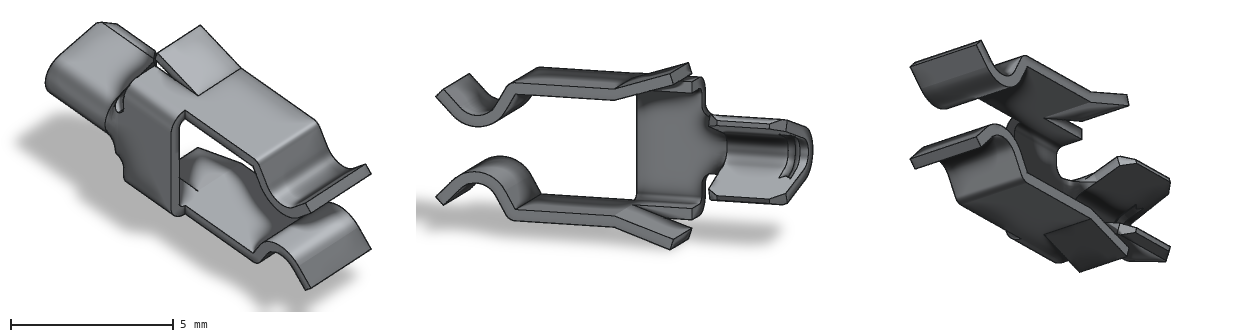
import cadquery as cq
import math

thickness = 0.36
length = 11.18
depth = 3.18

base_start = 3.48
base_end = 5.59
channel_half_height = 2.17
bend_inner_radius = 0.25
bend_outer_radius = bend_inner_radius + thickness
arm_inner_z = channel_half_height - thickness

knee_x = 8.6
knee_angle = math.radians(60)
contact_inner_radius = 0.73
contact_outer_radius = contact_inner_radius + thickness
contact_gap_half = 0.7
lead_in_angle = math.radians(45)

tab_edge_y = 1.34
tab_hinge_x = 5.4
tab_tip_x = 3.59
tab_tip_span = 5.53
tab_tip_z = tab_tip_span / 2
tab_angle = math.atan2(tab_tip_z - channel_half_height, tab_hinge_x - tab_tip_x)

barrel_end = 2.66
barrel_outer_radius = 0.87
barrel_inner_radius = barrel_outer_radius - thickness
flank_angle = math.radians(18.4)
flank_tip_y = 2.55
corner_chamfer = 0.38
tip_bevel_start_y = 2.15
tip_edge_thickness = 0.16
mouth_setback = 0.2

groove_start = 0.3
groove_end = 0.68
groove_depth = 0.13
groove_tip_y = 1.29

neck_end = 3.24
neck_half_height = 0.89
neck_flank_length = 0.63
neck_fillet_height = 0.39
neck_fillet_sag = 0.075


def both_sides(half):
    """Join a +Z feature with its mirror image."""
    return half.union(half.mirror("XY"))


def polar(center, radius, angle):
    return (center[0] + radius * math.cos(angle), center[1] + radius * math.sin(angle))


def channel_block(wall_offset, bend_radius):
    """Block behind a base face at Y = wall_offset, rounded along the two bends."""
    block = cq.Workplane("XY").box(
        base_end - base_start, depth, 2 * (channel_half_height - wall_offset), centered=(False, False, True)
    )
    return block.translate((base_start, wall_offset, 0)).edges("|X and <Y").fillet(bend_radius)


def make_channel():
    """Base with the bends that lead into both arms."""
    bends = cq.Workplane("XY").box(
        length, bend_outer_radius, 2 * channel_half_height, centered=(False, False, True)
    )
    outside = channel_block(0, bend_outer_radius)
    inside = channel_block(thickness, bend_inner_radius)
    return outside.cut(inside).intersect(bends)


def make_arm():
    """Upper arm: a flat leaf, the knee, the round contact and the lead-in."""
    center_z = contact_gap_half + contact_outer_radius
    rise = (center_z - arm_inner_z) * math.cos(knee_angle)
    center = (knee_x + (contact_outer_radius - rise) / math.sin(knee_angle), center_z)
    knee = (knee_x, arm_inner_z)
    start = -math.pi / 2 - knee_angle
    middle = -math.pi / 2
    end = -math.pi / 2 + lead_in_angle

    outer_end = polar(center, contact_outer_radius, end)
    inner_end = polar(center, contact_inner_radius, end)
    lead_in = (length - outer_end[0]) / math.cos(lead_in_angle)
    knee_normal = math.pi / 2 - knee_angle

    leaf = (
        cq.Workplane("XZ")
        .moveTo(base_start, arm_inner_z)
        .lineTo(*knee)
        .lineTo(*polar(center, contact_outer_radius, start))
        .threePointArc(polar(center, contact_outer_radius, middle), outer_end)
        .lineTo(*polar(outer_end, lead_in, lead_in_angle))
        .lineTo(*polar(inner_end, lead_in, lead_in_angle))
        .lineTo(*inner_end)
        .threePointArc(
            polar(center, contact_inner_radius, middle), polar(center, contact_inner_radius, start)
        )
        .lineTo(*polar(knee, thickness, knee_normal))
        .threePointArc(
            polar(knee, thickness, (knee_normal + math.pi / 2) / 2), (knee_x, channel_half_height)
        )
        .lineTo(base_start, channel_half_height)
        .close()
        .extrude(-(depth - bend_outer_radius))
        .translate((0, bend_outer_radius, 0))
    )
    window = cq.Workplane("XY").box(
        tab_hinge_x - base_start, depth - tab_edge_y, 2 * thickness, centered=(False, False, True)
    )
    return leaf.cut(window.translate((base_start, tab_edge_y, arm_inner_z)))


def make_tab():
    """Upper locking tab, sloping outwards from its hinge towards -X."""
    tip = (tab_tip_x, tab_tip_z)
    return (
        cq.Workplane("XZ")
        .moveTo(tab_hinge_x, channel_half_height)
        .lineTo(*tip)
        .lineTo(*polar(tip, thickness, -math.pi / 2 - tab_angle))
        .lineTo(tab_hinge_x, arm_inner_z)
        .close()
        .extrude(-(depth - tab_edge_y))
        .translate((0, tab_edge_y, 0))
    )


def flank_point(radius, y):
    """Point (y, z) on the straight flank tangent to a barrel arc of this radius."""
    tangent = polar((barrel_outer_radius, 0), radius, math.pi / 2 + flank_angle)
    return (y, tangent[1] + (y - tangent[0]) * math.tan(flank_angle))


def make_barrel_half():
    """Upper half of the U, with its bevelled tip and chamfered corners."""
    center = (barrel_outer_radius, 0)
    tangent_angle = math.pi / 2 + flank_angle
    mid_angle = (tangent_angle + math.pi) / 2
    inner_tip = flank_point(barrel_inner_radius, flank_tip_y)
    outer_tip = polar(inner_tip, tip_edge_thickness, math.pi / 2 + flank_angle)
    bevel_start = flank_point(barrel_outer_radius, tip_bevel_start_y)
    half = (
        cq.Workplane("YZ")
        .moveTo(0, 0)
        .threePointArc(
            polar(center, barrel_outer_radius, mid_angle), polar(center, barrel_outer_radius, tangent_angle)
        )
        .lineTo(*bevel_start)
        .lineTo(*outer_tip)
        .lineTo(*inner_tip)
        .lineTo(*polar(center, barrel_inner_radius, tangent_angle))
        .threePointArc(polar(center, barrel_inner_radius, mid_angle), (thickness, 0))
        .close()
        .extrude(barrel_end)
    )
    flank_plane = cq.Plane(
        origin=(0, inner_tip[0], inner_tip[1]),
        xDir=(1, 0, 0),
        normal=(0, -math.sin(flank_angle), math.cos(flank_angle)),
    )
    for corner_x, inward in ((mouth_setback, 1), (barrel_end, -1)):
        corner = (
            cq.Workplane(flank_plane)
            .moveTo(corner_x + inward * corner_chamfer, 0)
            .lineTo(corner_x - inward * corner_chamfer, -2 * corner_chamfer)
            .lineTo(corner_x - inward * corner_chamfer, corner_chamfer)
            .lineTo(corner_x + inward * corner_chamfer, corner_chamfer)
            .close()
            .extrude(2 * thickness, both=True)
        )
        half = half.cut(corner)
    return half


def make_groove():
    """Cutter for the V-shaped grip groove that follows the inside of the U."""
    middle = (groove_start + groove_end) / 2
    tangent_angle = math.pi / 2 + flank_angle
    center = (barrel_outer_radius, 0)
    sections = []
    for x, sink in ((groove_start, 0), (middle, groove_depth), (groove_end, 0)):
        radius = barrel_inner_radius + sink
        tangent = polar(center, radius, tangent_angle)
        tip = flank_point(radius, groove_tip_y - sink)
        section = (
            cq.Workplane("YZ", origin=(x, 0, 0))
            .moveTo(*tip)
            .lineTo(*tangent)
            .threePointArc((barrel_outer_radius - radius, 0), (tangent[0], -tangent[1]))
            .lineTo(tip[0], -tip[1])
            .close()
        )
        sections.append(section.val())
    return cq.Workplane(cq.Solid.makeLoft(sections, True))


def make_barrel():
    """Wire barrel whose open mouth leans back towards the flank tips."""
    mouth_cut = (
        cq.Workplane("XY")
        .polyline([(0, 0), (mouth_setback, flank_tip_y), (0, flank_tip_y)])
        .close()
        .extrude(depth, both=True)
    )
    return both_sides(make_barrel_half()).cut(mouth_cut).cut(make_groove())


def neck_profile_point(radius, share):
    """Point (y, z) on the neck's U-shaped end; share runs from -1 to 1 along the bent sheet."""
    sweep = math.pi / 2 - flank_angle
    arc_length = barrel_outer_radius * sweep
    travel = abs(share) * (arc_length + neck_flank_length)
    turn = min(travel / barrel_outer_radius, sweep)
    straight = max(travel - arc_length, 0)
    y, z = polar((barrel_outer_radius, 0), radius, math.pi - turn)
    y += straight * math.cos(flank_angle)
    z += straight * math.sin(flank_angle)
    return (y, math.copysign(z, share))


def make_neck():
    """Neck that unrolls from the U of the barrel to the flat base."""
    stations = 6
    points_per_side = 6
    shares = [i / points_per_side for i in range(-points_per_side, points_per_side + 1)]
    sections = []
    for station in range(stations + 1):
        progress = station / stations
        flatness = math.sqrt(1 - (1 - progress) ** 2)
        x = barrel_end + progress * (neck_end - barrel_end)
        outlines = []
        for radius, flat_y in ((barrel_outer_radius, 0), (barrel_inner_radius, thickness)):
            points = []
            for share in shares:
                y, z = neck_profile_point(radius, share)
                flat_z = share * neck_half_height
                points.append(
                    cq.Vector(x, y + flatness * (flat_y - y), z + flatness * (flat_z - z))
                )
            outlines.append(points)
        outer, inner = outlines
        sections.append(
            cq.Wire.assembleEdges(
                [
                    cq.Edge.makeSpline(outer),
                    cq.Edge.makeLine(outer[-1], inner[-1]),
                    cq.Edge.makeSpline(inner[::-1]),
                    cq.Edge.makeLine(inner[0], outer[0]),
                ]
            )
        )
    return cq.Workplane(cq.Solid.makeLoft(sections, False))


def make_neck_root():
    """Flat end of the neck, with a concave fillet into the base edge."""
    half = (
        cq.Workplane("XZ")
        .moveTo(base_start, 0)
        .lineTo(base_start, neck_half_height + neck_fillet_height)
        .sagittaArc((neck_end, neck_half_height), neck_fillet_sag)
        .lineTo(neck_end, 0)
        .close()
        .extrude(-thickness)
    )
    return both_sides(half)


result = (
    make_channel()
    .union(both_sides(make_arm()))
    .union(both_sides(make_tab()))
    .union(make_neck_root())
    .union(make_neck())
    .union(make_barrel())
)